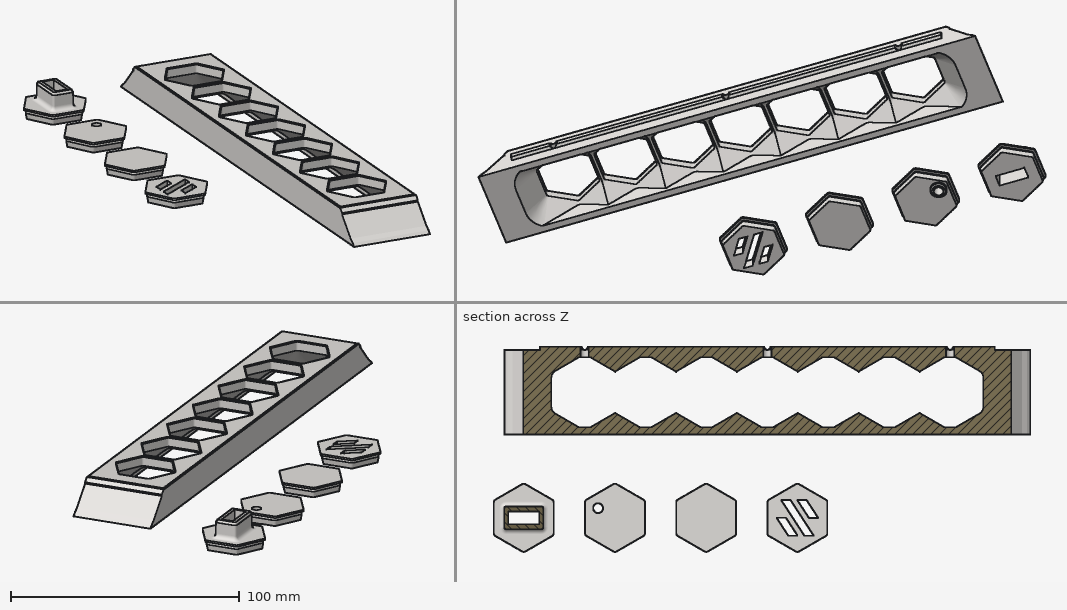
import cadquery as cq
import math

FRAME_HALF_LENGTH = 114.9
FRAME_WIDTH = 37.0
FRAME_HEIGHT = 14.0
SIDE_WALL = 3.3
TOP_CHAMFER = 0.5

LIP_RUN = 2.0
RECESS_STEP = 0.7
RECESS_END_RUN = 10.5
LOWER_LIP_RUN = 12.7

WINDOW_COUNT = 7
WINDOW_PITCH = 26.6
WINDOW_FLATS = 24.4
WINDOW_CORNER_RADIUS = 1.0
WINDOW_STRAIGHT_DEPTH = 4.5
WINDOW_FLARE_ANGLE = 45

RIDGE_HALF_LENGTH = 99.5
RIDGE_DEPTH = 1.5
RIDGE_Z = 7.3
RIDGE_BASE_HEIGHT = 3.5
RIDGE_TIP_HEIGHT = 2.0
BACK_HOLE_DIAMETER = 3.5
BACK_HOLE_SPACING = 3 * WINDOW_PITCH

CAP_FLATS = 26.3
CAP_CORNER_RADIUS = 1.5
CAP_PITCH = 39.8
CAPS_LEFT_X = -119.5
FIRST_CAP_X = CAPS_LEFT_X + CAP_FLATS / 2
CAP_Y = -54.8
FLANGE_THICKNESS = 0.82
PLUG_SNAP_FLATS = 24.8
PLUG_END_FLATS = 24.0
PLUG_CORNER_RADIUS = 1.5
PLUG_SNAP_DEPTH = 1.5
PLUG_DEPTH = 4.2

SLEEVE_LENGTH = 17.0
SLEEVE_WIDTH = 10.0
SLEEVE_TOP = 9.1
SLEEVE_CORNER_RADIUS = 1.0
SLEEVE_FLARE = 2.0
SLEEVE_RIM_DROP = 1.2
SLEEVE_RIM_INSET = 0.7
SOCKET_LENGTH = 13.4
SOCKET_WIDTH = 5.5

BOSS_X = -7.38
BOSS_Y = 4.2
BOSS_DIAMETER = 7.3
BOSS_HOLE_DIAMETER = 4.2
BOSS_DEPTH = 5.9
BOSS_CHAMFER = 0.7

SLOT_WIDTH = 4.0
SLOT_SPACING = 7.0
SLOT_HALF_HEIGHT = 7.7
SLOT_LEAN = 5.05


def hexagon(flats, corner_radius, z):
    """Hexagon with rounded corners, one pointing along Y, given across its flats."""
    radius = flats / math.sqrt(3)
    angles = [math.radians(30 + 60 * i) for i in range(6)]
    corners = [(radius * math.cos(angle), radius * math.sin(angle)) for angle in angles]
    outline = cq.Sketch().polygon(corners + corners[:1]).vertices().fillet(corner_radius)
    return cq.Workplane("XY").workplane(offset=z).placeSketch(outline)


def frame_outline():
    """Side outline of the frame, with both sloped ends."""
    top_half = FRAME_HALF_LENGTH - FRAME_HEIGHT
    right_end = [
        (top_half, FRAME_HEIGHT),
        (top_half + LIP_RUN, FRAME_HEIGHT - LIP_RUN),
        (top_half + LIP_RUN, FRAME_HEIGHT - LIP_RUN - RECESS_STEP),
        (top_half + RECESS_END_RUN, FRAME_HEIGHT - RECESS_END_RUN - RECESS_STEP),
        (top_half + LOWER_LIP_RUN, FRAME_HEIGHT - LOWER_LIP_RUN),
        (FRAME_HALF_LENGTH, 0),
    ]
    left_end = [(-x, z) for x, z in reversed(right_end)]
    return right_end + left_end


def make_ridge():
    back = FRAME_WIDTH / 2
    profile = [
        (back, -RIDGE_BASE_HEIGHT / 2),
        (back + RIDGE_DEPTH, -RIDGE_TIP_HEIGHT / 2),
        (back + RIDGE_DEPTH, RIDGE_TIP_HEIGHT / 2),
        (back, RIDGE_BASE_HEIGHT / 2),
    ]
    return (
        cq.Workplane("YZ", origin=(0, 0, RIDGE_Z))
        .polyline(profile)
        .close()
        .extrude(RIDGE_HALF_LENGTH, both=True)
    )


def make_window():
    """Cutter for one window; the side walls limit its flare."""
    flare_top = FRAME_HEIGHT - WINDOW_STRAIGHT_DEPTH
    section = hexagon(WINDOW_FLATS, WINDOW_CORNER_RADIUS, flare_top)
    straight = section.extrude(WINDOW_STRAIGHT_DEPTH)
    flare = section.extrude(-flare_top, taper=-WINDOW_FLARE_ANGLE)
    between_walls = cq.Workplane("XY").box(
        2 * FRAME_HALF_LENGTH, FRAME_WIDTH - 2 * SIDE_WALL, 2 * FRAME_HEIGHT
    )
    return straight.union(flare.intersect(between_walls))


def make_frame():
    frame = cq.Workplane("XZ").polyline(frame_outline()).close().extrude(FRAME_WIDTH / 2, both=True)
    frame = frame.union(make_ridge())

    window = make_window()
    for i in range(WINDOW_COUNT):
        frame = frame.cut(window.translate(((i - (WINDOW_COUNT - 1) / 2) * WINDOW_PITCH, 0, 0)))
    frame = frame.faces(">Z").chamfer(TOP_CHAMFER)

    back_hole = (
        cq.Workplane("XZ", origin=(0, FRAME_WIDTH / 2 + RIDGE_DEPTH, RIDGE_Z))
        .circle(BACK_HOLE_DIAMETER / 2)
        .extrude(SIDE_WALL + RIDGE_DEPTH)
    )
    for i in (-1, 0, 1):
        frame = frame.cut(back_hole.translate((i * BACK_HOLE_SPACING, 0, 0)))
    return frame


def plug_section(height):
    """Hexagonal block that narrows from the snap edge over a signed height."""
    taper = math.degrees(math.atan((PLUG_SNAP_FLATS - PLUG_END_FLATS) / 2 / abs(height)))
    return hexagon(PLUG_SNAP_FLATS, PLUG_CORNER_RADIUS, -PLUG_SNAP_DEPTH).extrude(height, taper=taper)


def make_plain_cap():
    flange = hexagon(CAP_FLATS, CAP_CORNER_RADIUS, 0).extrude(FLANGE_THICKNESS)
    neck = plug_section(PLUG_SNAP_DEPTH)
    tip = plug_section(PLUG_SNAP_DEPTH - PLUG_DEPTH)
    return flange.union(neck).union(tip)


def make_socket_cap():
    cap = make_plain_cap()
    sleeve = (
        cq.Workplane("XY")
        .box(SLEEVE_LENGTH, SLEEVE_WIDTH, SLEEVE_TOP, centered=(True, True, False))
        .edges("|Z")
        .fillet(SLEEVE_CORNER_RADIUS)
        .faces(">Z")
        .chamfer(SLEEVE_RIM_DROP, SLEEVE_RIM_INSET)
    )
    at_flange = cq.selectors.BoxSelector(
        (-SLEEVE_LENGTH / 2 - 0.2, -SLEEVE_WIDTH / 2 - 0.2, FLANGE_THICKNESS - 0.2),
        (SLEEVE_LENGTH / 2 + 0.2, SLEEVE_WIDTH / 2 + 0.2, FLANGE_THICKNESS + 0.2),
    )
    cap = cap.union(sleeve).edges(at_flange).fillet(SLEEVE_FLARE)
    socket = cq.Workplane("XY").box(SOCKET_LENGTH, SOCKET_WIDTH, 2 * SLEEVE_TOP)
    return cap.cut(socket)


def make_boss_cap():
    boss = (
        cq.Workplane("XY")
        .center(BOSS_X, BOSS_Y)
        .circle(BOSS_DIAMETER / 2)
        .extrude(-BOSS_DEPTH)
        .faces("<Z")
        .chamfer(BOSS_CHAMFER)
    )
    hole = (
        cq.Workplane("XY")
        .center(BOSS_X, BOSS_Y)
        .circle(BOSS_HOLE_DIAMETER / 2)
        .extrude(BOSS_DEPTH, both=True)
    )
    return make_plain_cap().union(boss).cut(hole)


def slot(centre_x, top, bottom):
    """Slanted slot through a cap; centre_x is where its centre line crosses y = 0."""
    lean = SLOT_LEAN / SLOT_HALF_HEIGHT
    top_x = centre_x - lean * top
    bottom_x = centre_x - lean * bottom
    half_width = SLOT_WIDTH / 2
    corners = [
        (top_x - half_width, top),
        (top_x + half_width, top),
        (bottom_x + half_width, bottom),
        (bottom_x - half_width, bottom),
    ]
    return cq.Workplane("XY").polyline(corners).close().extrude(PLUG_DEPTH, both=True)


def make_slotted_cap():
    long_slot = slot(0, SLOT_HALF_HEIGHT, -SLOT_HALF_HEIGHT)
    right_slot = slot(SLOT_SPACING, SLOT_HALF_HEIGHT, 0)
    left_slot = slot(-SLOT_SPACING, 0, -SLOT_HALF_HEIGHT)
    return make_plain_cap().cut(long_slot).cut(right_slot).cut(left_slot)


def place_cap(cap, position):
    return cap.translate((FIRST_CAP_X + position * CAP_PITCH, CAP_Y, 0))


frame = make_frame()
socket_cap = place_cap(make_socket_cap(), 0)
boss_cap = place_cap(make_boss_cap(), 1)
plain_cap = place_cap(make_plain_cap(), 2)
slotted_cap = place_cap(make_slotted_cap(), 3)

result = cq.Compound.makeCompound(
    [frame.val(), socket_cap.val(), boss_cap.val(), plain_cap.val(), slotted_cap.val()]
)